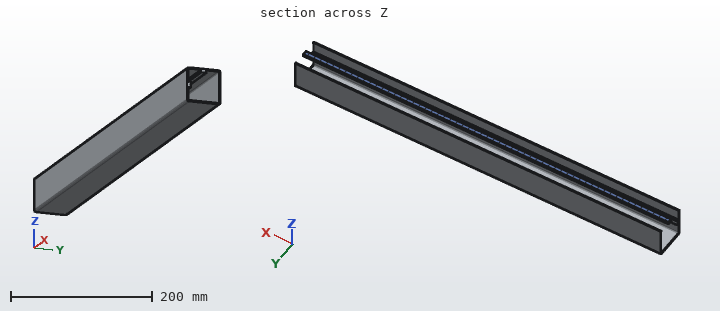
import cadquery as cq

length = 609.6
side = 50.0
wall = 2.0
outer_radius = 3.0
inner_radius = outer_radius - wall

rib_width = 8.0
rib_height = 3.5


def rounded_square_bar(size, corner_radius):
    """Solid bar along X with a rounded square section centred on the X axis."""
    bar = cq.Workplane("YZ").rect(size, size).extrude(length)
    return bar.edges("|X").fillet(corner_radius)


def make_tube():
    """Square tube with concentric outer and inner corner radii."""
    outside = rounded_square_bar(side, outer_radius)
    bore = rounded_square_bar(side - 2 * wall, inner_radius)
    return outside.cut(bore)


def make_top_rib():
    """Rib hanging from the +Z wall, rooted halfway into the wall so that it fuses."""
    root = side / 2 - wall / 2
    tip = side / 2 - wall - rib_height
    section = cq.Workplane("YZ").center(0, (root + tip) / 2).rect(rib_width, root - tip)
    return section.extrude(length)


tube = make_tube()
top_rib = make_top_rib()
side_rib = top_rib.rotate((0, 0, 0), (1, 0, 0), 90)

result = tube.union(top_rib).union(side_rib)